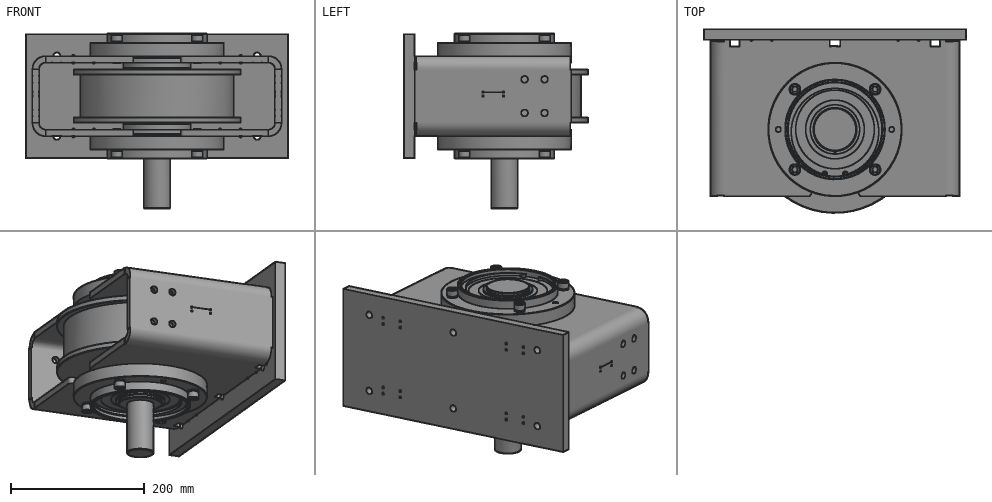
import cadquery as cq
import math


plate_length = 392.0
plate_height = 185.0
plate_back_y = 150.0
plate_thickness = 16.0
plate_front_y = plate_back_y - plate_thickness

bracket_width = 372.5
bracket_front_y = -100.0
bracket_top_z = 60.0
sheet = 9.8
bend_radius = 20.0
bend_setback_rear = 2.5
bend_setback_front = 1.0
bracket_inner_z = bracket_top_z - sheet
slot_width = 71.0
slot_corner_radius = 4.7
notch_x = 149.7
notch_width = 13.7
middle_notch_width = 15.3
notch_depth = 9.8
middle_notch_fillet = 2.0
plate_hole_radius = 5.0

tab_start_x = 94.5
tab_length = 30.5
tab_relief_radius = 1.5
seam_tab_start_y = 1.5
seam_tab_height = 6.0
seam_relief_radius = 1.0
seam_gap = 0.5

buffer_hole_radius = 5.0
buffer_hole_y = (-30.0, -60.0)
buffer_hole_z = 25.0

wheel_radius = 125.0
tread_radius = 115.0
wheel_top_z = 40.0
rim_inner_z = 31.8
rim_chamfer = 0.8

housing_radius = 100.0
housing_top_z = 80.0
housing_chamfer = 0.8
spigot_radius = 78.5
spigot_chamfer = 1.5
spigot_groove_depth = 2.5
spigot_groove_bottom_z = 58.0
collar_radius = 50.5
collar_bottom_z = 42.5
cap_radius = 75.0
cap_bore_radius = 70.0
cap_top_z = 93.5
cap_chamfer = 0.98
pin_hole_x = 84.5
pin_hole_radius = 4.0
pin_hole_depth = 4.0

bearing_face_z = 83.5
seal_outer_radius = 58.8
seal_inner_radius = 44.0
seal_recess = 0.5
outer_ring_inner_radius = 65.5
outer_ring_offset_y = -4.0
outer_ring_lug_x = 15.3
outer_ring_lug_y = -66.2
outer_ring_lug_radius = 3.5
outer_ring_lug_hole_radius = 1.5
outer_ring_thickness = 4.0
outer_ring_gap = 23.5
inner_ring_radius = 37.0
inner_ring_top_z = 86.2
inner_ring_gap = 2.5

journal_radius = 32.5
journal_top_z = 90.5
output_radius = 20.0
output_end_z = -168.0
shaft_chamfer = 1.0

screw_pitch = 120.0
head_radius = 8.2
head_height = 10.0
head_chamfer = 1.0
washer_radius = 8.0
washer_thickness = 2.5
thread_radius = 5.0
thread_end_z = 49.0
socket_across_flats = 8.0
socket_depth = 5.0


def disc(radius, z_start, z_end, x=0, y=0):
    """Solid cylinder along Z."""
    return cq.Workplane("XY", origin=(x, y, z_start)).circle(radius).extrude(z_end - z_start)


def ring(outer_radius, inner_radius, z_start, z_end):
    """Hollow cylinder around the wheel axis."""
    return disc(outer_radius, z_start, z_end).cut(disc(inner_radius, z_start, z_end))


def block(x_range, y_range, z_range):
    """Box given by its limits along each axis."""
    size = [high - low for low, high in (x_range, y_range, z_range)]
    corner = (x_range[0], y_range[0], z_range[0])
    return cq.Workplane("XY").box(*size, centered=False).translate(corner)


def with_mirror(half):
    """Join a shape above Z = 0 with its reflection below."""
    return half.union(half.mirror("XY"))


def make_plate():
    height_range = (-plate_height / 2, plate_height / 2)
    plate = block((-plate_length / 2, plate_length / 2), (plate_front_y, plate_back_y), height_range)
    hole_points = [(x, z) for x in (-notch_x, 0, notch_x) for z in (-bracket_top_z, bracket_top_z)]
    relief_points = [
        (side * x, z)
        for side in (-1, 1)
        for x in (tab_start_x, tab_start_x + tab_length)
        for z in (-bracket_top_z, -bracket_inner_z, bracket_inner_z, bracket_top_z)
    ]
    drill_plane = cq.Workplane("XZ", origin=(0, plate_back_y, 0))
    holes = drill_plane.pushPoints(hole_points).circle(plate_hole_radius).extrude(plate_thickness)
    reliefs = drill_plane.pushPoints(relief_points).circle(tab_relief_radius).extrude(plate_thickness)
    return plate.cut(holes).cut(reliefs)


def make_bracket():
    depth = plate_front_y - bracket_front_y
    height = 2 * bracket_top_z
    profile_plane = cq.Workplane("XZ", origin=(0, plate_front_y, 0))
    outside = profile_plane.rect(bracket_width, height).extrude(depth).edges("|Y").fillet(bend_radius)
    inside = profile_plane.rect(bracket_width - 2 * sheet, height - 2 * sheet).extrude(depth)
    bracket = outside.cut(inside.edges("|Y").fillet(bend_radius - sheet))

    bend_start_x = bracket_width / 2 - bend_radius
    bend_start_z = bracket_top_z - bend_radius
    for side in (-1, 1):
        x_range = sorted((side * bend_start_x, side * bracket_width / 2))
        for level in (-1, 1):
            z_range = sorted((level * bend_start_z, level * bracket_top_z))
            rear = (plate_front_y - bend_setback_rear, plate_front_y)
            front = (bracket_front_y, bracket_front_y + bend_setback_front)
            bracket = bracket.cut(block(x_range, rear, z_range)).cut(block(x_range, front, z_range))

    full_height = (-bracket_top_z, bracket_top_z)
    slot = block((-slot_width / 2, slot_width / 2), (bracket_front_y, 0), full_height)
    mouth_edges = cq.selectors.BoxSelector(
        (-slot_width, bracket_front_y - sheet, -bracket_top_z),
        (slot_width, bracket_front_y + sheet, bracket_top_z),
    )
    bracket = bracket.cut(slot)
    bracket = bracket.edges("|Z").edges(mouth_edges).fillet(slot_corner_radius)

    notch_y = (plate_front_y - notch_depth, plate_front_y)
    for x in (-notch_x, notch_x):
        bracket = bracket.cut(block((x - notch_width / 2, x + notch_width / 2), notch_y, full_height))
    middle_notch = block((-middle_notch_width / 2, middle_notch_width / 2), notch_y, full_height)
    bracket = bracket.cut(middle_notch.edges("|Z and <Y").fillet(middle_notch_fillet))
    for x in (tab_start_x, tab_start_x + tab_length):
        for side in (-1, 1):
            relief = disc(tab_relief_radius, *full_height, side * x, plate_front_y)
            bracket = bracket.cut(relief)
    return bracket.cut(side_wall_cuts())


def side_wall_cuts():
    """Buffer holes and seam joint that pass through both side walls."""
    wall_plane = cq.Workplane("YZ", origin=(-bracket_width / 2, 0, 0))
    buffer_points = [(y, z) for y in buffer_hole_y for z in (-buffer_hole_z, buffer_hole_z)]
    cuts = wall_plane.pushPoints(buffer_points).circle(buffer_hole_radius).extrude(bracket_width)

    seam_ends = (seam_tab_start_y, seam_tab_start_y + tab_length)
    relief_points = [(y, z) for y in seam_ends for z in (0, seam_tab_height)]
    reliefs = wall_plane.pushPoints(relief_points).circle(seam_relief_radius).extrude(bracket_width)
    gap_centre = (sum(seam_ends) / 2, seam_tab_height)
    gap = wall_plane.center(*gap_centre).rect(tab_length, seam_gap).extrude(bracket_width)
    return cuts.union(reliefs).union(gap)


def make_wheel():
    rim = disc(wheel_radius, rim_inner_z, wheel_top_z).edges().chamfer(rim_chamfer)
    return disc(tread_radius, -wheel_top_z, wheel_top_z).union(with_mirror(rim))


def make_outer_ring():
    """Retaining ring in the cap bore, wider opposite its gap and with a lug at each end."""
    z_range = (bearing_face_z, bearing_face_z + outer_ring_thickness)
    opening = disc(outer_ring_inner_radius, *z_range, 0, outer_ring_offset_y)
    retaining_ring = disc(cap_bore_radius, *z_range).cut(opening)
    gap_x = (-outer_ring_gap / 2, outer_ring_gap / 2)
    retaining_ring = retaining_ring.cut(block(gap_x, (-cap_bore_radius, 0), z_range))
    for lug_x in (-outer_ring_lug_x, outer_ring_lug_x):
        lug = disc(outer_ring_lug_radius, *z_range, lug_x, outer_ring_lug_y)
        lug_hole = disc(outer_ring_lug_hole_radius, *z_range, lug_x, outer_ring_lug_y)
        retaining_ring = retaining_ring.union(lug).cut(lug_hole)
    return retaining_ring


def make_housing():
    """Upper housing with its cap, bearing and retaining rings."""
    flange = disc(housing_radius, bracket_top_z, housing_top_z).faces(">Z").chamfer(housing_chamfer)
    for side in (-1, 1):
        pin_hole = disc(pin_hole_radius, housing_top_z - pin_hole_depth, housing_top_z, side * pin_hole_x)
        flange = flange.cut(pin_hole)

    spigot = disc(spigot_radius, bracket_inner_z, spigot_groove_bottom_z).faces(">Z").chamfer(spigot_chamfer)
    groove_floor = disc(spigot_radius - spigot_groove_depth, spigot_groove_bottom_z, bracket_top_z)
    collar = disc(collar_radius, collar_bottom_z, bracket_inner_z)
    cap = disc(cap_radius, housing_top_z, cap_top_z)
    cap = cap.cut(disc(cap_bore_radius, bearing_face_z, cap_top_z)).faces(">Z").chamfer(cap_chamfer)
    seal_groove = ring(seal_outer_radius, seal_inner_radius, bearing_face_z - seal_recess, bearing_face_z)
    cap = cap.cut(seal_groove)

    inner_ring = disc(inner_ring_radius, bearing_face_z, inner_ring_top_z)
    inner_gap_x = (-inner_ring_gap / 2, inner_ring_gap / 2)
    inner_gap_z = (bearing_face_z, inner_ring_top_z)
    inner_ring = inner_ring.cut(block(inner_gap_x, (-inner_ring_radius, 0), inner_gap_z))

    housing = flange
    for piece in (spigot, groove_floor, collar, cap, make_outer_ring(), inner_ring):
        housing = housing.union(piece)
    return housing


def make_screw(x, y):
    """Socket head screw on a washer, with its thread reaching through the bracket."""
    head_base_z = housing_top_z + washer_thickness
    head_top_z = head_base_z + head_height
    socket_diameter = socket_across_flats / math.cos(math.pi / 6)
    socket = cq.Workplane("XY", origin=(x, y, head_top_z)).polygon(6, socket_diameter).extrude(-socket_depth)
    head = disc(head_radius, head_base_z, head_top_z, x, y).faces(">Z").chamfer(head_chamfer).cut(socket)
    washer = disc(washer_radius, housing_top_z, head_base_z, x, y)
    thread = disc(thread_radius, thread_end_z, housing_top_z, x, y)
    return head.union(washer).union(thread)


def make_shaft():
    journal = disc(journal_radius, -journal_top_z, journal_top_z).edges().chamfer(shaft_chamfer)
    output = disc(output_radius, output_end_z, 0).faces("<Z").chamfer(shaft_chamfer)
    return journal.union(output)


end_assembly = make_housing()
for screw_x in (-screw_pitch / 2, screw_pitch / 2):
    for screw_y in (-screw_pitch / 2, screw_pitch / 2):
        end_assembly = end_assembly.union(make_screw(screw_x, screw_y))

body = make_plate().union(make_bracket()).union(make_wheel()).union(make_shaft())
result = body.union(with_mirror(end_assembly))